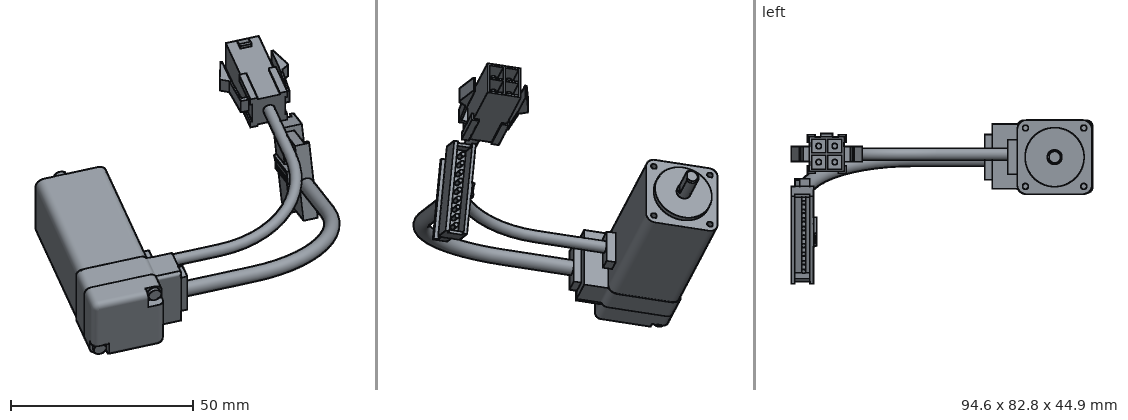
import cadquery as cq
import math


motor_side = 20.4
motor_length = 37.9
motor_corner = 2.5
pilot_diameter = 16.2
pilot_height = 1.5
mount_pitch = 16.0
mount_hole_diameter = 1.6
mount_hole_depth = 3.0
shaft_diameter = 4.0
shaft_tip_x = -10.1
shaft_chamfer = 0.4
shaft_flat_depth = 0.6
shaft_flat_end_x = -2.9

encoder_y = (-10.5, 10.2)
encoder_z = (-9.9, 10.15)
encoder_corner = 1.9
frame_end_x = 45.5
cap_end_x = 53.0
cap_edge = 1.7
outlet_end_y = 17.1
outlet_z = (-8.7, 9.1)
outlet_root_y = 5.0
outlet_root_fillet = 0.8
cap_outlet_end_x = 46.8
cap_outlet_edge = 0.6

screw_offset = 7.9
screw_head_diameter = 3.6
screw_head_height = 1.1
screw_shank_diameter = 2.0
screw_shank_length = 4.0
screw_notch_side = 4.7
screw_notch_depth = 2.6

bend_radius = 30.0
motor_cable_diameter = 3.3
motor_cable_x = 32.4
motor_cable_z = 0.85
motor_cable_bend_y = 32.5
motor_grommet_end_y = 12.8
motor_grommet_width = 3.7
motor_grommet_height = 9.5
encoder_cable_diameter = 4.3
encoder_cable_x = 43.1
encoder_cable_z = -0.4
encoder_cable_bend_y = 39.1
encoder_grommet_end_y = 19.2
encoder_grommet_width = 4.4
encoder_grommet_height = 12.5

plug_front_x = -41.58
plug_rear_x = -17.4
plug_side = 9.5
plug_y = motor_cable_bend_y + bend_radius
plug_z = motor_cable_z
collar_front_x = -27.8
collar_side = 10.6
collar_leg = 2.1
cell_side = 3.8
cell_pitch = 4.4
cell_depth = 10.0
contact_diameter = 1.5
contact_length = 7.0
key_length = 3.4
key_width = 3.3
key_height = 0.95
key_ramp = 2.5
latch_width = 4.2

tilt = 20.0
wide_length = 8.1
wide_height = 25.5
wide_y = (66.1, 72.26)
rear_length = 10.2
rear_height = 22.6
rear_y = (67.1, 69.9)
flange_length = 1.3
slot_y = (67.1, 71.2)
slot_depth = 1.8
cavity_depth = 6.5
cavity_height = 23.8
pin_count = 9
pin_pitch = 2.5
pin_diameter = 1.2
pin_length = 4.0
pin_y = 68.8
clip_length = 13.2
clip_width = 3.8
clip_height = 0.9
clip_groove_width = 2.4
clip_groove_depth = 0.5
clip_bridge = 0.6
clip_lead_in = 0.8
encoder_plug_x = -21.45
encoder_plug_z = -22.76


def block(x, y, z):
    """A box between two limits on each axis."""
    size = (x[1] - x[0], y[1] - y[0], z[1] - z[0])
    return cq.Workplane("XY").box(*size, centered=False).translate((x[0], y[0], z[0]))


def around(middle, width):
    """The two limits of a width centred on a value."""
    return (middle - width / 2, middle + width / 2)


def rod(start_x, end_x, diameter, y=0.0, z=0.0):
    """A round bar along X."""
    return (
        cq.Workplane("YZ", origin=(start_x, y, z))
        .circle(diameter / 2)
        .extrude(end_x - start_x)
    )


def make_motor():
    side = around(0, motor_side)
    body = block((0, motor_length), side, side).edges("|X").fillet(motor_corner)
    mount_holes = (
        cq.Workplane("YZ")
        .rect(mount_pitch, mount_pitch, forConstruction=True)
        .vertices()
        .circle(mount_hole_diameter / 2)
        .extrude(mount_hole_depth)
    )
    pilot = rod(-pilot_height, 0, pilot_diameter)
    shaft = rod(shaft_tip_x, 0, shaft_diameter).faces("<X").chamfer(shaft_chamfer)
    flat_y = shaft_diameter / 2 - shaft_flat_depth
    flat = block(
        (shaft_tip_x, shaft_flat_end_x),
        (flat_y, shaft_diameter),
        around(0, 2 * shaft_diameter),
    )
    return body.cut(mount_holes).union(pilot).union(shaft.cut(flat))


def round_outlet_root(body, x):
    """Round the two inner corners where the cable outlet leaves the encoder's side."""
    for z in outlet_z:
        root = cq.selectors.BoxSelector(
            (x[0], encoder_y[1] - encoder_corner, z - outlet_root_fillet),
            (x[1], encoder_y[1] + outlet_root_fillet, z + outlet_root_fillet),
        )
        body = body.edges("|X").edges(root).fillet(outlet_root_fillet)
    return body


def make_encoder_frame():
    length = (motor_length, frame_end_x)
    body = block(length, encoder_y, encoder_z).edges("|X").fillet(encoder_corner)
    outlet = block(length, (outlet_root_y, outlet_end_y), outlet_z)
    return round_outlet_root(body.union(outlet), length)


def make_screw(corner):
    """A cap screw at the +Y +Z corner (corner = 1) or the -Y -Z corner (corner = -1)."""
    place = corner * screw_offset
    seat_x = cap_end_x - screw_notch_depth
    head = rod(seat_x, seat_x + screw_head_height, screw_head_diameter, place, place)
    shank = rod(seat_x - screw_shank_length, seat_x, screw_shank_diameter, place, place)
    return head.union(shank)


def make_encoder_cap(cap_screws):
    cap = (
        block((frame_end_x, cap_end_x), encoder_y, encoder_z)
        .edges("|X")
        .fillet(encoder_corner)
        .faces(">X")
        .edges()
        .fillet(cap_edge)
    )
    outlet = (
        block((frame_end_x, cap_outlet_end_x), (outlet_root_y, outlet_end_y), outlet_z)
        .faces(">X")
        .edges()
        .fillet(cap_outlet_edge)
    )
    cap = cap.union(outlet)
    depth = (cap_end_x - screw_notch_depth, cap_end_x)
    upper_notch = block(
        depth,
        (encoder_y[1] - screw_notch_side, encoder_y[1]),
        (encoder_z[1] - screw_notch_side, encoder_z[1]),
    )
    lower_notch = block(
        depth,
        (encoder_y[0], encoder_y[0] + screw_notch_side),
        (encoder_z[0], encoder_z[0] + screw_notch_side),
    )
    cap = cap.cut(upper_notch).cut(lower_notch)
    for cap_screw in cap_screws:
        cap = cap.cut(cap_screw)
    return cap


def make_cable(x, z, diameter, start_y, bend_y, end_length, slope):
    """A cable that runs along +Y, bends by 90 degrees and ends along -X, sloping down."""
    down = math.radians(slope)

    def at(back, y):
        return cq.Vector(x - back * math.cos(down), y, z - back * math.sin(down))

    middle_back = bend_radius * (1 - math.cos(math.pi / 4))
    middle_y = bend_y + bend_radius * math.sin(math.pi / 4)
    end_y = bend_y + bend_radius
    rise = cq.Edge.makeLine(at(0, start_y), at(0, bend_y))
    bend = cq.Edge.makeThreePointArc(
        at(0, bend_y), at(middle_back, middle_y), at(bend_radius, end_y)
    )
    run = cq.Edge.makeLine(at(bend_radius, end_y), at(bend_radius + end_length, end_y))
    path = cq.Workplane(cq.Wire.assembleEdges([rise, bend, run]))
    return (
        cq.Workplane("XZ", origin=(x, start_y, z)).circle(diameter / 2).sweep(path)
    )


def make_motor_cable():
    end_length = motor_cable_x - bend_radius - plug_rear_x
    cable = make_cable(
        motor_cable_x, motor_cable_z, motor_cable_diameter,
        motor_grommet_end_y, motor_cable_bend_y, end_length, 0,
    )
    grommet = block(
        around(motor_cable_x, motor_grommet_width),
        (motor_side / 2, motor_grommet_end_y),
        around(0, motor_grommet_height),
    )
    return grommet.union(cable)


def make_encoder_cable():
    down = math.radians(tilt)
    plug_rear = wide_length + rear_length
    reach = (
        (encoder_cable_x - encoder_plug_x) * math.cos(down)
        + (encoder_cable_z - encoder_plug_z) * math.sin(down)
        - plug_rear
    )
    cable = make_cable(
        encoder_cable_x, encoder_cable_z, encoder_cable_diameter,
        encoder_grommet_end_y, encoder_cable_bend_y, reach - bend_radius, tilt,
    )
    grommet = block(
        around(encoder_cable_x, encoder_grommet_width),
        (outlet_end_y, encoder_grommet_end_y),
        around(0, encoder_grommet_height),
    )
    return grommet.union(cable)


def make_latch():
    """The barbed spring arm on the +Y side of the motor plug."""
    post_x = (-21.85, -20.75)
    post_y = 69.5
    arm_thickness = 0.5
    arm_x = -31.0
    arm_y = 69.6
    barb_tip_x = -37.5
    barb_peak_x = (-31.3, -30.7)
    barb_peak_y = 72.26
    barb_heel_x = -29.4
    outline = [
        (post_x[1], plug_y + plug_side / 2),
        (post_x[1], post_y),
        (barb_heel_x, arm_y + arm_thickness),
        (barb_peak_x[1], barb_peak_y),
        (barb_peak_x[0], barb_peak_y),
        (barb_tip_x, arm_y + arm_thickness),
        (barb_tip_x, arm_y),
        (arm_x, arm_y),
        (post_x[0], post_y - arm_thickness),
        (post_x[0], plug_y + plug_side / 2),
    ]
    return (
        cq.Workplane("XY", origin=(0, 0, plug_z - latch_width / 2))
        .polyline(outline)
        .close()
        .extrude(latch_width)
    )


def make_collar():
    """Four angle strips along the rear corners of the motor plug."""
    length = (collar_front_x, plug_rear_x)
    collar = block(length, around(plug_y, collar_side), around(plug_z, collar_side))
    gap = collar_side - 2 * collar_leg
    wide = 2 * collar_side
    collar = collar.cut(block(length, around(plug_y, gap), around(plug_z, wide)))
    return collar.cut(block(length, around(plug_y, wide), around(plug_z, gap)))


def make_key():
    """The ramped key on top of the motor plug."""
    top_z = plug_z + plug_side / 2
    return (
        cq.Workplane("XZ", origin=(0, plug_y + key_width / 2, 0))
        .moveTo(plug_front_x, top_z)
        .lineTo(plug_front_x + key_ramp, top_z + key_height)
        .lineTo(plug_front_x + key_length, top_z + key_height)
        .lineTo(plug_front_x + key_length, top_z)
        .close()
        .extrude(key_width)
    )


def make_motor_plug():
    length = (plug_front_x, plug_rear_x)
    plug = block(length, around(plug_y, plug_side), around(plug_z, plug_side))
    floor_x = plug_front_x + cell_depth
    latch = make_latch()
    plug = plug.union(make_collar()).union(make_key()).union(latch)
    plug = plug.union(latch.mirror("XZ", (0, plug_y, 0)))
    for y_side in (-1, 1):
        for z_side in (-1, 1):
            y = plug_y + y_side * cell_pitch / 2
            z = plug_z + z_side * cell_pitch / 2
            cell = block((plug_front_x, floor_x), around(y, cell_side), around(z, cell_side))
            contact = rod(floor_x - contact_length, floor_x, contact_diameter, y, z)
            plug = plug.cut(cell.cut(contact))
    return plug


def make_clip():
    """The grooved clip that stands proud of the -Y side of the encoder plug."""
    outer_y = wide_y[0] - clip_height
    clip = block((0, clip_length), (outer_y, rear_y[0]), around(0, clip_width))
    clip = clip.faces("<X").edges("<Y").chamfer(clip_lead_in)
    groove = block(
        (clip_bridge, clip_length - clip_bridge),
        (outer_y, outer_y + clip_groove_depth),
        around(0, clip_groove_width),
    )
    return clip.cut(groove)


def make_encoder_plug():
    """Built along X from its open end at X = 0, then tilted and moved into place."""
    end_x = wide_length + rear_length
    plug = block((0, wide_length), wide_y, around(0, wide_height))
    rear = block((wide_length, end_x), rear_y, around(0, rear_height))
    flange = block((end_x - flange_length, end_x), slot_y, around(0, rear_height))
    slot = block((0, slot_depth), slot_y, around(0, wide_height))
    cavity = block((0, cavity_depth), slot_y, around(0, cavity_height))
    plug = plug.union(rear).union(flange).cut(slot).cut(cavity).union(make_clip())
    for index in range(pin_count):
        z = (index - (pin_count - 1) / 2) * pin_pitch
        plug = plug.union(rod(cavity_depth - pin_length, cavity_depth, pin_diameter, pin_y, z))
    plug = plug.rotate((0, 0, 0), (0, 1, 0), -tilt)
    return plug.translate((encoder_plug_x, 0, encoder_plug_z))


screws = [make_screw(corner) for corner in (1, -1)]
motor = make_motor()
encoder_frame = make_encoder_frame()
encoder_cap = make_encoder_cap(screws)
motor_cable = make_motor_cable()
encoder_cable = make_encoder_cable()
motor_plug = make_motor_plug()
encoder_plug = make_encoder_plug()

bodies = [
    motor,
    encoder_frame,
    encoder_cap,
    motor_cable,
    encoder_cable,
    motor_plug,
    encoder_plug,
    *screws,
]
result = cq.Compound.makeCompound([body.solids().val() for body in bodies])